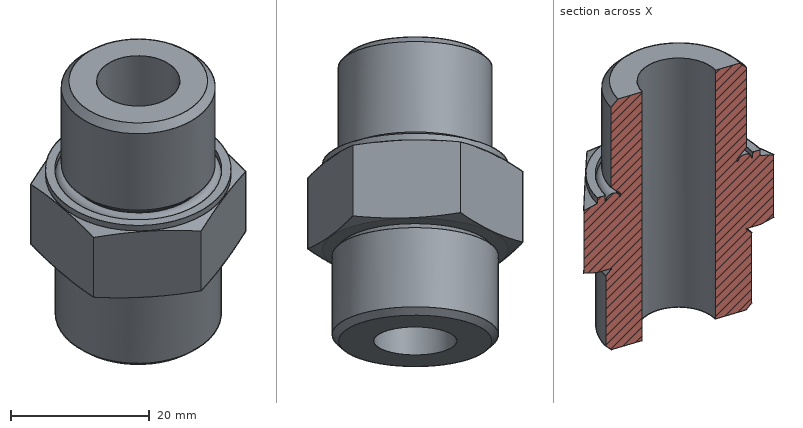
import cadquery as cq
import math

total_height = 43.0
hex_bottom = 14.0
hex_top = 26.0
collar_top = 27.0

across_flats = 27.0
across_corners = across_flats / math.cos(math.radians(30))
collar_radius = 26.8 / 2
hex_chamfer_angle = 15.0

lower_radius = 24.0 / 2
lower_chamfer = 0.95
upper_radius = 22.25 / 2
upper_tip_chamfer = 1.1
relief_top = 28.05
bore_radius = 12.0 / 2

neck_radius = 19.18 / 2
groove_radius = 24.1 / 2
ring_section_radius = (groove_radius - neck_radius) / 2
ring_center_radius = (groove_radius + neck_radius) / 2
ring_center_z = collar_top - ring_section_radius
neck_top = relief_top - (upper_radius - neck_radius)


def revolve_about_z(profile):
    """Revolve a closed XZ profile (radius, height) around the Z axis."""
    return profile.close().revolve(360, (0, 0, 0), (0, 1, 0))


def make_hexagon():
    """Upright hexagon, corners on Y, with both ends trimmed by shallow cones."""
    prism = (
        cq.Workplane("XY", origin=(0, 0, hex_bottom))
        .polygon(6, across_corners)
        .extrude(hex_top - hex_bottom)
        .rotate((0, 0, 0), (0, 0, 1), 30)
    )
    outer_radius = across_corners / 2 + 0.45
    drop = (outer_radius - collar_radius) * math.tan(math.radians(hex_chamfer_angle))
    envelope = revolve_about_z(
        cq.Workplane("XZ")
        .moveTo(0, hex_bottom)
        .lineTo(collar_radius, hex_bottom)
        .lineTo(outer_radius, hex_bottom + drop)
        .lineTo(outer_radius, hex_top - drop)
        .lineTo(collar_radius, hex_top)
        .lineTo(0, hex_top)
    )
    return prism.intersect(envelope)


def make_lower_end():
    """Lower threaded end, chamfered at its tip and below the hexagon."""
    return (
        cq.Workplane("XY")
        .circle(lower_radius)
        .extrude(hex_bottom)
        .faces("<Z or >Z")
        .chamfer(lower_chamfer)
    )


def make_collar():
    """Flat round collar on top of the hexagon."""
    return cq.Workplane("XY", origin=(0, 0, hex_top)).circle(collar_radius).extrude(collar_top - hex_top)


def make_upper_end():
    """Upper threaded end with a tip chamfer and a conical relief down to the neck."""
    return revolve_about_z(
        cq.Workplane("XZ")
        .moveTo(0, ring_center_z)
        .lineTo(neck_radius, ring_center_z)
        .lineTo(neck_radius, neck_top)
        .lineTo(upper_radius, relief_top)
        .lineTo(upper_radius, total_height - upper_tip_chamfer)
        .lineTo(upper_radius - upper_tip_chamfer, total_height)
        .lineTo(0, total_height)
    )


def make_groove_space():
    """Open space in the groove above the rounded top of the sealing ring."""
    return revolve_about_z(
        cq.Workplane("XZ")
        .moveTo(neck_radius, ring_center_z)
        .threePointArc((ring_center_radius, collar_top), (groove_radius, ring_center_z))
        .lineTo(groove_radius, relief_top)
        .lineTo(neck_radius, relief_top)
    )


def make_bore():
    """Straight bore through the full height."""
    return cq.Workplane("XY").circle(bore_radius).extrude(total_height)


body = make_hexagon().union(make_collar()).union(make_lower_end())
body = body.cut(make_groove_space())
result = body.union(make_upper_end()).cut(make_bore())